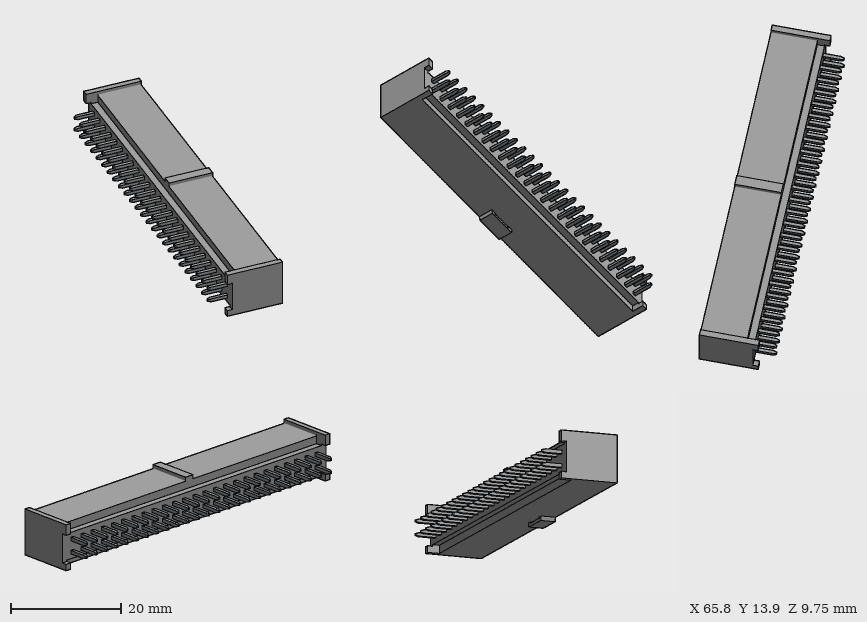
import cadquery as cq
import math


length = 65.85
body_depth = 9.95
body_height = 8.15
step_depth = 1.3
step_height = 1.5

plate_thickness = 1.1
rib_height = 0.8
plate_height = body_height + rib_height
foot_length = 1.0
upper_foot_bottom = 6.9
lower_foot_top = 1.25

rib_width = 1.85
root_radius = 0.1
key_top_width = 6.2
key_bottom_width = 5.8
key_height = 0.8
key_depth = 2.8
key_recess_width = 3.95
key_recess_height = 0.2
key_recess_depth = 0.3

column_count = 25
row_count = 2
pitch = 2.54
pin_width = 0.65
pin_length = 3.9
pin_tip_length = 0.6
pin_tip_width = 0.3


def box(x_min, x_max, y_min, y_max, z_min, z_max):
    """Axis-aligned block given by its limits."""
    size = (x_max - x_min, y_max - y_min, z_max - z_min)
    return cq.Workplane("XY").box(*size, centered=False).translate((x_min, y_min, z_min))


def make_body():
    """Bar between the plates, stepped along its upper and lower front edges."""
    half = length / 2
    rear = box(-half, half, step_depth, body_depth, 0, body_height)
    front = box(-half, half, 0, step_depth, step_height, body_height - step_height)
    return rear.union(front)


def make_end_plate(x_min):
    """Plate with an upper and a lower foot in front of the housing."""
    x_max = x_min + plate_thickness
    plate = box(x_min, x_max, 0, body_depth, 0, plate_height)
    upper_foot = box(x_min, x_max, -foot_length, 0, upper_foot_bottom, plate_height)
    lower_foot = box(x_min, x_max, -foot_length, 0, 0, lower_foot_top)
    return plate.union(upper_foot).union(lower_foot)


def make_rib():
    """Centre rib across the top of the body."""
    return box(-rib_width / 2, rib_width / 2, step_depth, body_depth, body_height, plate_height)


def make_key():
    """Tapered key under the rear edge of the body, with a shallow recess in its front face."""
    outline = [
        (-key_top_width / 2, 0),
        (key_top_width / 2, 0),
        (key_bottom_width / 2, -key_height),
        (-key_bottom_width / 2, -key_height),
    ]
    key = (
        cq.Workplane("XZ", origin=(0, body_depth, 0))
        .polyline(outline)
        .close()
        .extrude(key_depth)
    )
    front = body_depth - key_depth
    half_recess = key_recess_width / 2
    recess = box(-half_recess, half_recess, front, front + key_recess_depth, -key_recess_height, 0)
    return key.cut(recess)


def make_pins():
    """Square pins with pyramid tips, rooted in the housing's front face."""
    shank_length = pin_length - pin_tip_length
    tip_angle = math.degrees(math.atan((pin_width - pin_tip_width) / 2 / pin_tip_length))
    front_face = cq.Workplane("XZ", origin=(0, 0, body_height / 2))

    def pin_grid(start, reach, taper):
        """One stretch of every pin, starting this far in front of the housing."""
        return (
            front_face.workplane(offset=start)
            .rarray(pitch, pitch, column_count, row_count)
            .rect(pin_width, pin_width)
            .extrude(reach, taper=taper)
        )

    shanks = pin_grid(0, shank_length, 0)
    tips = pin_grid(shank_length, pin_tip_length, tip_angle)
    return shanks.union(tips)


def make_housing():
    """Body, plates and rib, with filleted roots along the top of the body."""
    housing = (
        make_body()
        .union(make_end_plate(-length / 2))
        .union(make_end_plate(length / 2 - plate_thickness))
        .union(make_rib())
    )
    margin = root_radius / 2
    roots = cq.selectors.BoxSelector(
        (-length / 2 + margin, 0, body_height - margin),
        (length / 2 - margin, body_depth, body_height + margin),
    )
    return housing.edges("|Y").edges(roots).fillet(root_radius)


result = make_housing().union(make_key()).union(make_pins())